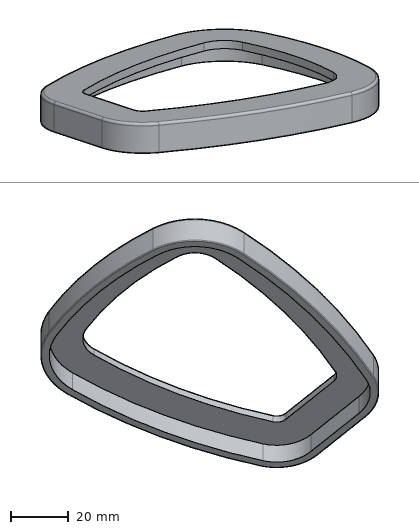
import cadquery as cq
import math

width = 93.1
length = 113.5
height = 11.0

end_radius = 119.2
side_radius = 199.8
wide_corner_radius = 25.0
narrow_corner_radius = 18.7
side_start_angle = math.radians(-1.8)

rim_width = 14.5
wall = 3.0
top_fillet = 1.0
bottom_fillet = 0.3

half_width = width / 2
half_length = length / 2


def point_on_arc(center, radius, angle):
    return (center[0] + radius * math.cos(angle), center[1] + radius * math.sin(angle))


def mirrored(point):
    return (-point[0], point[1])


def outline(inset, depth):
    """Prism of the tangent-arc outline, inset from the outer edge, rising from Z = 0."""
    end_center_y = half_length - end_radius
    wide_x = half_width - wide_corner_radius
    wide_rise = math.sqrt((end_radius - wide_corner_radius) ** 2 - wide_x**2)
    wide_center = (wide_x, end_center_y + wide_rise)
    end_angle = math.atan2(wide_rise, wide_x)

    side_center = point_on_arc(wide_center, wide_corner_radius - side_radius, side_start_angle)
    narrow_y = narrow_corner_radius - half_length
    narrow_drop = narrow_y - side_center[1]
    narrow_run = math.sqrt((side_radius - narrow_corner_radius) ** 2 - narrow_drop**2)
    narrow_center = (side_center[0] + narrow_run, narrow_y)
    side_angle = math.atan2(narrow_drop, narrow_run)

    wide_radius = wide_corner_radius - inset
    narrow_radius = narrow_corner_radius - inset
    end_middle = (0, half_length - inset)
    end_corner = point_on_arc(wide_center, wide_radius, end_angle)
    wide_middle = point_on_arc(wide_center, wide_radius, (end_angle + side_start_angle) / 2)
    side_start = point_on_arc(wide_center, wide_radius, side_start_angle)
    side_middle = point_on_arc(side_center, side_radius - inset, (side_start_angle + side_angle) / 2)
    side_end = point_on_arc(narrow_center, narrow_radius, side_angle)
    narrow_middle = point_on_arc(narrow_center, narrow_radius, (side_angle - math.pi / 2) / 2)
    narrow_end = (narrow_center[0], inset - half_length)

    return (
        cq.Workplane("XY")
        .moveTo(*mirrored(end_corner))
        .threePointArc(end_middle, end_corner)
        .threePointArc(wide_middle, side_start)
        .threePointArc(side_middle, side_end)
        .threePointArc(narrow_middle, narrow_end)
        .lineTo(*mirrored(narrow_end))
        .threePointArc(mirrored(narrow_middle), mirrored(side_end))
        .threePointArc(mirrored(side_middle), mirrored(side_start))
        .threePointArc(mirrored(wide_middle), mirrored(end_corner))
        .close()
        .extrude(depth)
    )


body = outline(0, height)
body = body.faces(">Z").edges().fillet(top_fillet)
body = body.faces("<Z").edges().fillet(bottom_fillet)

cavity = outline(wall, height - wall)

window = outline(rim_width, height)

result = body.cut(cavity).cut(window)